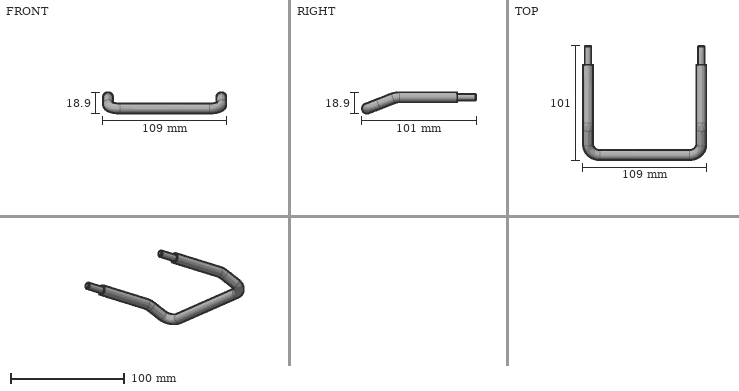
import cadquery as cq
import math

width = 109.0
depth = 101.0
rod_diameter = 9.0
stud_diameter = 6.0
stud_length = 17.0
stud_chamfer = 1.0
straight_length = 51.2
bend_angle = 21.3
bend_radius = 15.0
corner_radius = 10.5

rod_radius = rod_diameter / 2
leg_x = width / 2 - rod_radius
tilt = math.radians(bend_angle)
grip_y = -(depth - stud_length - rod_radius)
bend_start_y = -straight_length
bend_end_y = bend_start_y - bend_radius * math.sin(tilt)
bend_end_z = -bend_radius * (1 - math.cos(tilt))
slope_length = (bend_end_y - grip_y) / math.cos(tilt)


def slope_point(x, distance):
    """Point on the tilted grip plane, at a distance past the downward bend."""
    return cq.Vector(
        x,
        bend_end_y - distance * math.cos(tilt),
        bend_end_z - distance * math.sin(tilt),
    )


def make_leg_path(side):
    """Centreline edges of one leg, from its shoulder to the grip; side is 1 (+X) or -1 (-X)."""
    x = side * leg_x
    shoulder = cq.Vector(x, 0, 0)
    bend_start = cq.Vector(x, bend_start_y, 0)
    bend_middle = cq.Vector(
        x,
        bend_start_y - bend_radius * math.sin(tilt / 2),
        -bend_radius * (1 - math.cos(tilt / 2)),
    )
    bend_end = slope_point(x, 0)
    corner_start = slope_point(x, slope_length - corner_radius)
    corner_inset = corner_radius * (1 - math.sqrt(0.5))
    corner_middle = slope_point(x - side * corner_inset, slope_length - corner_inset)
    corner_end = slope_point(x - side * corner_radius, slope_length)
    return [
        cq.Edge.makeLine(shoulder, bend_start),
        cq.Edge.makeThreePointArc(bend_start, bend_middle, bend_end),
        cq.Edge.makeLine(bend_end, corner_start),
        cq.Edge.makeThreePointArc(corner_start, corner_middle, corner_end),
    ]


def make_rod():
    """Round rod swept from shoulder to shoulder through the grip."""
    grip_half = leg_x - corner_radius
    grip = cq.Edge.makeLine(
        slope_point(grip_half, slope_length),
        slope_point(-grip_half, slope_length),
    )
    path = cq.Wire.assembleEdges(make_leg_path(1) + [grip] + make_leg_path(-1)[::-1])
    return (
        cq.Workplane("XZ")
        .center(leg_x, 0)
        .circle(rod_radius)
        .sweep(cq.Workplane(path))
    )


def make_stud(x):
    """Thinner end of a leg, chamfered at its tip."""
    return (
        cq.Workplane("XZ")
        .center(x, 0)
        .circle(stud_diameter / 2)
        .extrude(-stud_length)
        .faces(">Y")
        .chamfer(stud_chamfer)
    )


result = make_rod()
for stud_x in (-leg_x, leg_x):
    result = result.union(make_stud(stud_x))